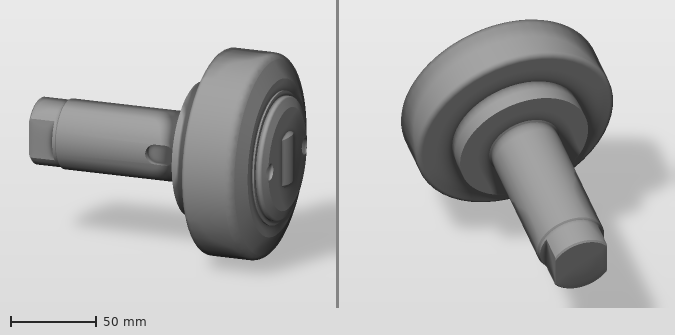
import cadquery as cq
import math

total_length = 159.0

tip_radius = 20.0
shaft_radius = 21.0
shaft_start = 17.8
edge_chamfer = 1.0
flat_length = 16.0
flat_width = 32.1

slot_start = 75.2
slot_end = 93.7
slot_width = 12.2
slot_depth = 5.0

hub_radius = 39.99
hub_start = 99.4
hub_end = 151.2

roller_radius = 61.5
roller_start = 113.4
roller_end = 150.1
roller_face_radius = 47.0
roller_rear_fillet = 3.0
roller_front_fillet = 5.2

cap_radius = 37.0
cap_end = 156.8
cap_face_radius = 30.8
cap_fillet = 1.3

spanner_hole_diameter = 10.0
spanner_hole_offset = 27.8
spanner_hole_depth = 5.0

cone_angle = 20.5

bar_base_radius = 16.7
bar_curve_radius = 20.0


def axial_cylinder(radius, start, end):
    return cq.Workplane("YZ", origin=(start, 0, 0)).circle(radius).extrude(end - start)


def coned_disc(radius, start, end, face_radius):
    """Cylinder whose +X end tapers along a cone to a smaller flat face."""
    cone_start = end - (radius - face_radius) * math.tan(math.radians(cone_angle))
    return (
        cq.Workplane("XY")
        .moveTo(start, 0)
        .lineTo(start, radius)
        .lineTo(cone_start, radius)
        .lineTo(end, face_radius)
        .lineTo(end, 0)
        .close()
        .revolve(360, (0, 0, 0), (1, 0, 0))
    )


def round_cone_edge(disc, radius, fillet):
    """Round the edge between the cylinder and its cone."""
    edges = [e for e in disc.edges("%CIRCLE").vals() if abs(e.radius() - radius) < 0.02]
    front_edge = max(edges, key=lambda e: e.Center().x)
    return disc.newObject([front_edge]).fillet(fillet)


def make_shaft():
    tip = axial_cylinder(tip_radius, 0, shaft_start).faces("<X").chamfer(edge_chamfer)
    body = axial_cylinder(shaft_radius, shaft_start, hub_start).faces("<X").chamfer(edge_chamfer)
    flats = cq.Workplane("XY").box(
        flat_length, flat_width, 2 * tip_radius, centered=(False, True, True)
    )
    bare_tip = axial_cylinder(tip_radius, flat_length, shaft_start)
    return tip.intersect(flats).union(bare_tip).union(body)


def make_shoulder_flare():
    """Small cone where the shaft meets the hub."""
    return (
        cq.Workplane("YZ", origin=(hub_start, 0, 0))
        .circle(shaft_radius + edge_chamfer)
        .extrude(-edge_chamfer, taper=45)
    )


def make_slot():
    return (
        cq.Workplane("XZ", origin=((slot_start + slot_end) / 2, slot_depth - shaft_radius, 0))
        .slot2D(slot_end - slot_start, slot_width)
        .extrude(2 * slot_depth)
    )


def make_roller():
    roller = coned_disc(roller_radius, roller_start, roller_end, roller_face_radius)
    roller = round_cone_edge(roller, roller_radius, roller_front_fillet)
    return roller.faces("<X").edges().fillet(roller_rear_fillet)


def make_cap():
    cap = coned_disc(cap_radius, hub_end, cap_end, cap_face_radius)
    return round_cone_edge(cap, cap_radius, cap_fillet)


def make_spanner_holes():
    return (
        cq.Workplane("YZ", origin=(cap_end, 0, 0))
        .pushPoints([(-spanner_hole_offset, 0), (spanner_hole_offset, 0)])
        .circle(spanner_hole_diameter / 2)
        .extrude(-spanner_hole_depth)
    )


def make_end_bar():
    """Bar along Z with a curved crown and conical ends."""
    height = total_length - cap_end
    pad = cq.Workplane("YZ", origin=(cap_end, 0, 0)).circle(bar_base_radius).extrude(height, taper=45)
    crown = (
        cq.Workplane("XY", origin=(total_length - bar_curve_radius, 0, -bar_base_radius))
        .circle(bar_curve_radius)
        .extrude(2 * bar_base_radius)
    )
    return pad.intersect(crown)


result = (
    make_shaft()
    .union(make_shoulder_flare())
    .cut(make_slot())
    .union(axial_cylinder(hub_radius, hub_start, hub_end))
    .union(make_roller())
    .union(make_cap())
    .cut(make_spanner_holes())
    .union(make_end_bar())
)